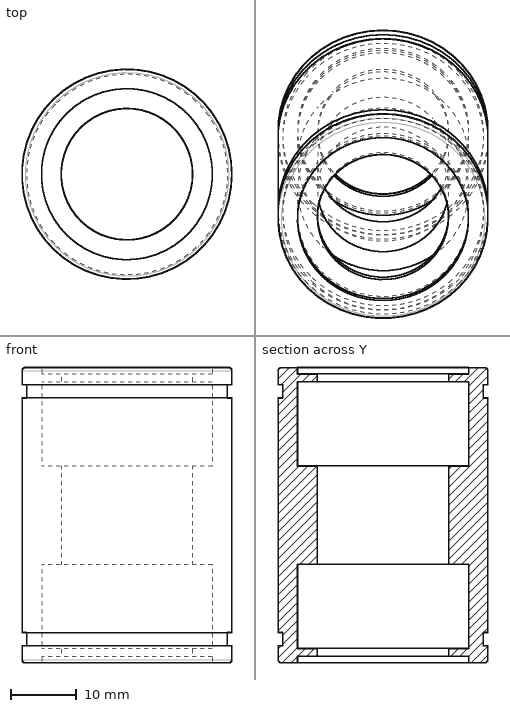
import cadquery as cq

length = 45.0
outer_diameter = 32.0
bore_diameter = 20.0
edge_radius = 0.5

groove_diameter = 30.6
groove_width = 2.0
groove_offset = 2.65

recess_diameter = 26.05
recess_depth = 1.0

lip_thickness = 1.2
chamber_diameter = recess_diameter
land_length = length / 3


def cylinder(diameter, bottom, height):
    """Solid cylinder on the Z axis, starting at the given height."""
    return cq.Workplane("XY").workplane(offset=bottom).circle(diameter / 2).extrude(height)


sleeve = cylinder(outer_diameter, 0, length).faces("<Z or >Z").edges().fillet(edge_radius)
sleeve = sleeve.cut(cylinder(bore_diameter, 0, length))

for bottom in (groove_offset, length - groove_offset - groove_width):
    ring = cylinder(outer_diameter, bottom, groove_width).cut(
        cylinder(groove_diameter, bottom, groove_width)
    )
    sleeve = sleeve.cut(ring)

for bottom in (0, length - recess_depth):
    sleeve = sleeve.cut(cylinder(recess_diameter, bottom, recess_depth))

chamber_offset = recess_depth + lip_thickness
chamber_length = (length - land_length) / 2 - chamber_offset
for bottom in (chamber_offset, length - chamber_offset - chamber_length):
    sleeve = sleeve.cut(cylinder(chamber_diameter, bottom, chamber_length))

result = sleeve